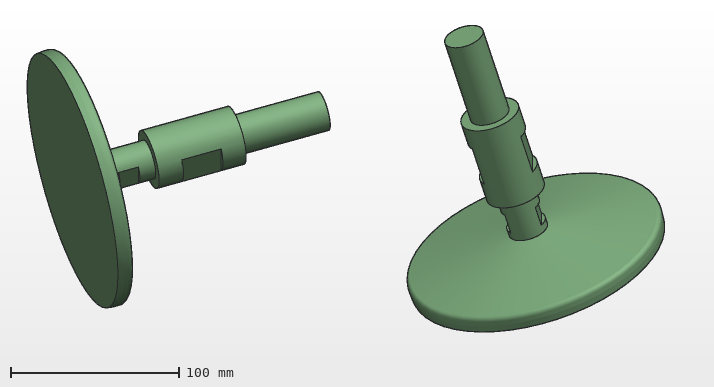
import cadquery as cq
import math

total_length = 159.0

foot_diameter = 158.0
underside_diameter = 157.1
taper_height = 4.3
shoulder_height = 10.0
rim_round = 3.0
foot_height = 21.0
foot_top_diameter = 25.0

shaft_diameter = 24.0
collar_diameter = 36.0
collar_start = 48.3
collar_length = 55.2

shaft_flat_start = 25.8
shaft_flat_length = 12.5
shaft_across_flats = 19.0
collar_flat_length = 25.0
collar_flat_start = 63.8
collar_across_flats = 30.0


def cylinder_along_y(diameter, start, length):
    """Solid cylinder on the Y axis, running toward +Y from start."""
    plane = cq.Plane(origin=(0, start, 0), xDir=(1, 0, 0), normal=(0, 1, 0))
    return cq.Workplane(plane).circle(diameter / 2).extrude(length)


def cut_wrench_flats(body, diameter, across_flats, start, length):
    """Cut two opposite flats into a round section of the body."""
    keep_slab = cq.Workplane("XY").box(across_flats, length, diameter)
    keep_slab = keep_slab.translate((0, start + length / 2, 0))
    waste = cylinder_along_y(diameter, start, length).cut(keep_slab)
    return body.cut(waste)


def make_foot():
    """Revolve the foot profile, with its quarter-round rim, about the Y axis."""
    rim_radius = foot_diameter / 2
    shoulder_radius = rim_radius - rim_round
    straight_top = shoulder_height - rim_round
    arc_reach = rim_round * math.sqrt(0.5)
    profile = (
        cq.Workplane("XY")
        .lineTo(underside_diameter / 2, 0)
        .lineTo(rim_radius, taper_height)
        .lineTo(rim_radius, straight_top)
        .threePointArc(
            (shoulder_radius + arc_reach, straight_top + arc_reach),
            (shoulder_radius, shoulder_height),
        )
        .lineTo(foot_top_diameter / 2, foot_height)
        .lineTo(0, foot_height)
        .close()
    )
    return profile.revolve(360, (0, 0, 0), (0, 1, 0))


def make_spindle():
    """Shaft and collar in one piece, standing on top of the foot."""
    shaft = cylinder_along_y(shaft_diameter, foot_height, total_length - foot_height)
    shaft = cut_wrench_flats(
        shaft, shaft_diameter, shaft_across_flats, shaft_flat_start, shaft_flat_length
    )
    collar = cylinder_along_y(collar_diameter, collar_start, collar_length)
    collar = cut_wrench_flats(
        collar, collar_diameter, collar_across_flats, collar_flat_start, collar_flat_length
    )
    return shaft.union(collar)


foot = make_foot()
spindle = make_spindle()
result = cq.Compound.makeCompound([foot.val(), spindle.val()])